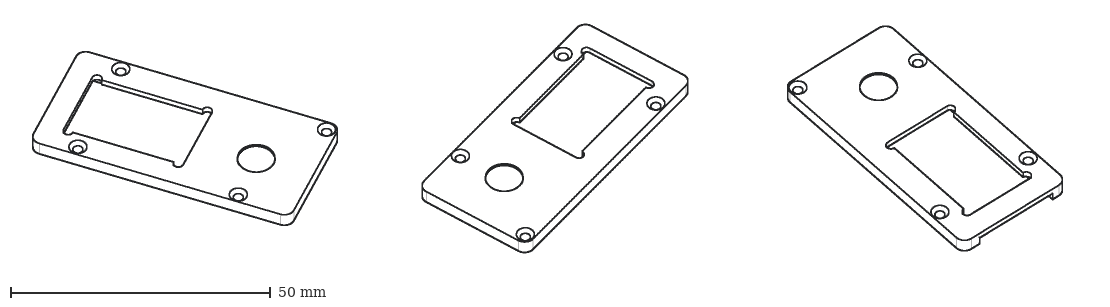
import cadquery as cq

length = 54.1
width = 25.95
height = 3.0
corner_radius = 2.0

roof_thickness = 1.3
recess_front_wall = 3.5
recess_back_wall = 4.2
recess_end_wall = 3.5

wide_start = 0.0
wide_back_wall = 2.7

window_left = -22.05
window_right = 2.75
window_front = -7.85
window_back = 7.05
relief_radius = 1.0

opening_center = (15.2, -1.05)
opening_diameter = 7.25
opening_lip_thickness = 0.5
counterbore_diameter = 10.8

screw_diameter = 1.95
countersink_diameter = 3.45
countersink_angle = 90
left_screw_x = -17.8
back_screw_y = 11.1
screw_centers = [
    (left_screw_x, back_screw_y),
    (left_screw_x, -11.05),
    (24.95, back_screw_y),
    (15.6, -11.2),
]


def box_between(x_range, y_range, z_range):
    """Box spanning the given (low, high) ranges."""
    size = [high - low for low, high in (x_range, y_range, z_range)]
    corner = (x_range[0], y_range[0], z_range[0])
    return cq.Workplane("XY").box(*size, centered=False).translate(corner)


def make_plate():
    plate = cq.Workplane("XY").box(length, width, height, centered=(True, True, False))
    return plate.edges("|Z").fillet(corner_radius)


def make_recess():
    end_x = length / 2 - recess_end_wall
    front_y = -width / 2 + recess_front_wall
    depth_range = (0, height - roof_thickness)
    mouth = box_between(
        (-length / 2, end_x),
        (front_y, width / 2 - recess_back_wall),
        depth_range,
    )
    wide_stretch = box_between(
        (wide_start, end_x),
        (front_y, width / 2 - wide_back_wall),
        depth_range,
    )
    return mouth.union(wide_stretch)


def make_window():
    window = box_between((window_left, window_right), (window_front, window_back), (0, height))
    relief_centers = [
        (x, y)
        for x in (window_left + relief_radius, window_right - relief_radius)
        for y in (window_front, window_back)
    ]
    reliefs = cq.Workplane("XY").pushPoints(relief_centers).circle(relief_radius).extrude(height)
    return window.union(reliefs)


def make_opening():
    center = cq.Workplane("XY").center(*opening_center)
    through_hole = center.circle(opening_diameter / 2).extrude(height)
    counterbore = center.circle(counterbore_diameter / 2).extrude(height - opening_lip_thickness)
    return through_hole.union(counterbore)


result = make_plate().cut(make_recess()).cut(make_window()).cut(make_opening())
result = (
    result.faces(">Z")
    .workplane(origin=(0, 0, height))
    .pushPoints(screw_centers)
    .cskHole(screw_diameter, countersink_diameter, countersink_angle)
)